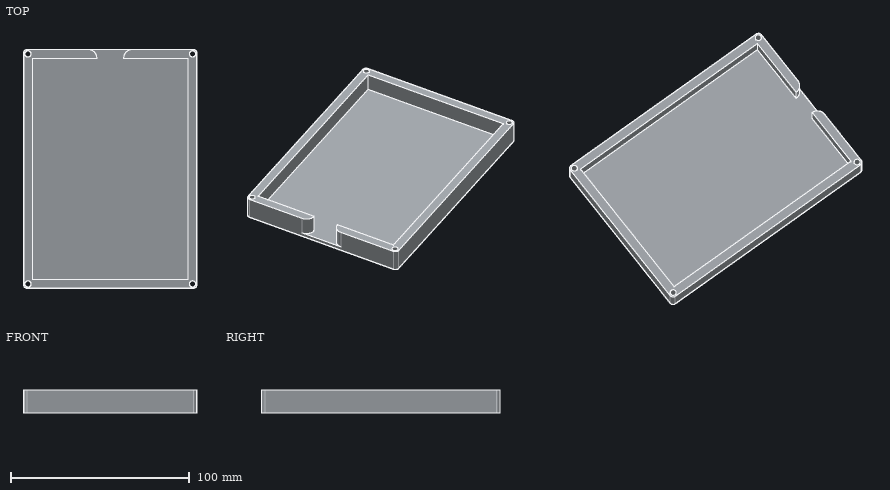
import cadquery as cq

width = 97.1
length = 133.7
height = 13.0
corner_radius = 2.0

wall = 5.0
floor = 2.5

hole_diameter = 3.3
hole_inset = wall / 2

opening_width = 15.0
opening_round = wall


def tray_body():
    """Block with rounded vertical corners, hollowed from above."""
    block = (
        cq.Workplane("XY")
        .rect(width, length)
        .extrude(height)
        .edges("|Z")
        .fillet(corner_radius)
    )
    pocket = (
        cq.Workplane("XY", origin=(0, 0, floor))
        .rect(width - 2 * wall, length - 2 * wall)
        .extrude(height - floor)
    )
    return block.cut(pocket)


def finger_opening():
    """Cutter down to the floor that flares outward along two quarter arcs."""
    inner_y = length / 2 - wall
    outer_y = inner_y + opening_round
    inner_x = opening_width / 2
    outer_x = inner_x + opening_round
    return (
        cq.Workplane("XY", origin=(0, 0, floor))
        .moveTo(-inner_x, inner_y)
        .lineTo(inner_x, inner_y)
        .radiusArc((outer_x, outer_y), opening_round)
        .lineTo(-outer_x, outer_y)
        .radiusArc((-inner_x, inner_y), opening_round)
        .close()
        .extrude(height - floor)
    )


def corner_holes():
    """Through-hole cutters at the four corners."""
    return (
        cq.Workplane("XY")
        .rect(width - 2 * hole_inset, length - 2 * hole_inset, forConstruction=True)
        .vertices()
        .circle(hole_diameter / 2)
        .extrude(height)
    )


result = tray_body().cut(finger_opening()).cut(corner_holes())